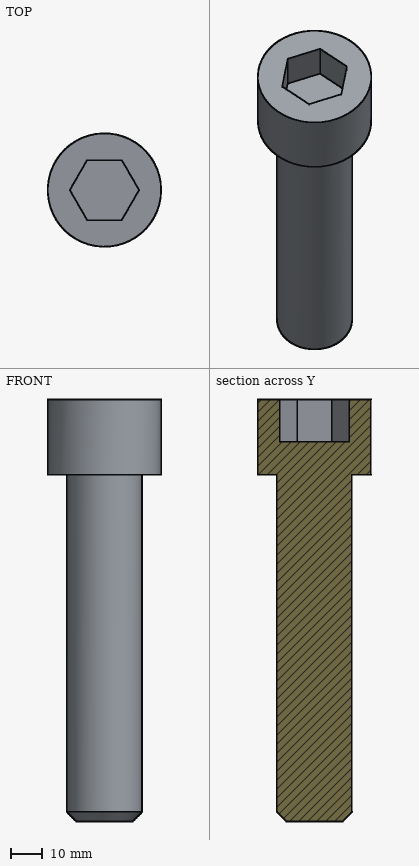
import cadquery as cq

total_length = 134.0
head_diameter = 36.0
shank_diameter = 24.0
head_height = shank_diameter
tip_chamfer = 3.1
socket_across_flats = 19.0
socket_depth = 13.4

shank_length = total_length - head_height


def make_shank():
    """Plain cylinder with a chamfered tip; the thread is not modelled."""
    shank = cq.Workplane("XY").circle(shank_diameter / 2).extrude(shank_length)
    return shank.faces("<Z").chamfer(tip_chamfer)


def make_head():
    """Cylindrical head on top of the shank."""
    head = cq.Workplane("XY", origin=(0, 0, shank_length))
    return head.circle(head_diameter / 2).extrude(head_height)


def make_hex_socket():
    """Hexagonal drive recess with two corners in line with the X axis."""
    corner_turn = 30
    socket = (
        cq.Workplane("XY", origin=(0, 0, total_length))
        .polygon(6, socket_across_flats, circumscribed=True)
        .extrude(-socket_depth)
    )
    return socket.rotate((0, 0, 0), (0, 0, 1), corner_turn)


result = make_shank().union(make_head()).cut(make_hex_socket())